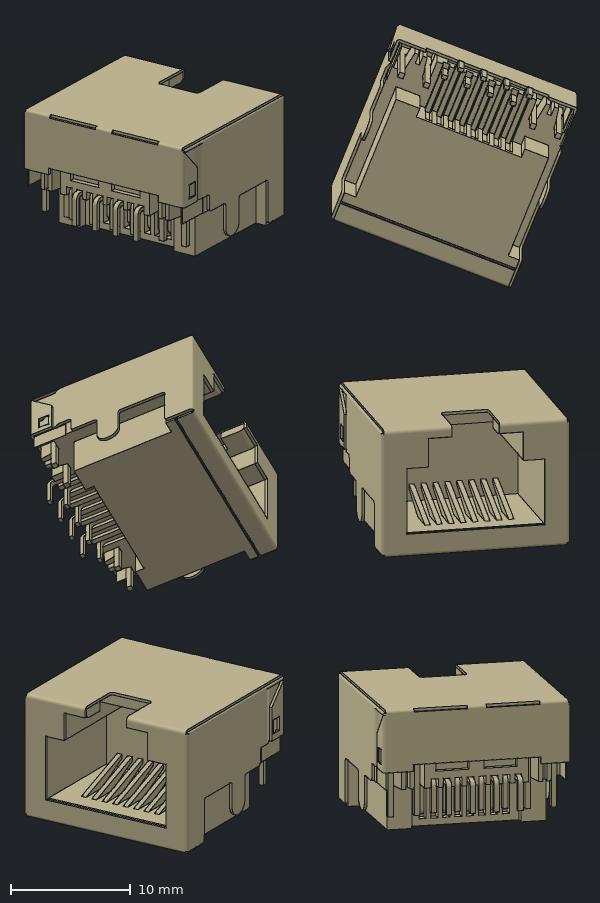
import cadquery as cq

WIDTH = 16.2
DEPTH = 15.18
HEIGHT = 11.1
SHEET = 0.25
BEND = 0.26
FRONT_BEND = 0.4
EDGE_STEP = 0.21
EDGE_ROUND = 0.16
CUT_ROUND = 0.25
OVER = 0.32

SHELF_Z = 4.2
REAR_EDGE_Z = 5.75
REAR_CUT_HALF = 5.5
REAR_CUT_Z = 6.33
FLAP_LENGTH = 2.04
FLAP_SLOPE_Z = 8.78
SIDE_TOP_Z = 10.7
TONGUE_REAR_Y = 0.45
TONGUE_GAP = 0.02
JOGGLE_OUT_Y = 2.65
JOGGLE_IN_Y = 2.04
JOGGLE_RADIUS = 0.65
WINDOW_Y = (0.81, 1.77)
WINDOW_Z = (6.33, 7.58)
BUMP_GAP = 0.03
BUMP_CREST = 0.28
BUMP_HEIGHT = 0.2
SIDE_REAR_Y = 3.84
TAB_WIDTH = 2.0
TAB_RADIUS = 0.99
TAB_Y = 7.25
TAB_BOTTOM_Z = 0.95
CHEEK_Y = 12.59
BOTTOM_FLAP_Y = 13.58
NOTCH_HALF = 2.04
NOTCH_Y = 11.08
NOTCH_ROUND = 0.35
FRONT_LATCH_TOP = 10.14
RELIEF_X = (0.83, 5.43)

BODY_HALF = WIDTH / 2 - SHEET
BODY_FRONT = DEPTH - SHEET
BODY_TOP = HEIGHT - SHEET
TONGUE_OUTER = BODY_HALF - TONGUE_GAP
TONGUE_INNER = TONGUE_OUTER - SHEET
REAR_BODY_Y = 3.24
REAR_BODY_HALF = 7.8
BASE_HALF = 6.85
BASE_REAR_Y = 3.52
CENTER_HALF = 4.71
CENTER_REAR_Y = 4.3
BOTTOM_RECESS_Y = 13.4
CAVITY_HALF = 5.95
CAVITY_FLOOR = 1.95
CAVITY_TOP = 7.66
LATCH_HALF = 4.1
LATCH_TOP = 9.98
CAVITY_REAR = 5.67
LEAD_IN = 0.25
LATCH_ROUND = 0.4
LATCH_POCKET_HALF = 3.24
LATCH_POCKET_FRONT = 12.81
REAR_POCKET_X = (0.65, 3.5)
REAR_POCKET_Z = 5.6
REAR_POCKET_HEIGHT = 1.62
REAR_POCKET_DEPTH = 0.49

CONTACTS = 8
CONTACT_PITCH = 1.029
CONTACT_WIDTH = 0.45
CONTACT_THICK = 0.35
CONTACT_SLOT = 0.6
SLOT_Z = (0.62, 4.94)
PIN_ROW_Y = (0.9, -0.18)
PIN_END_Z = 1.98
PIN_TOP_Z = 4.86
PIN_BEND = (0.71, 0.6)
RISER_Y = 4.67
RUN_Z = 0.86
RUN_BEND = 0.39
SPRING_FLOOR_Y = 12.93
SPRING_TURN_Y = 14.22
SPRING_TIP_Y = 7.29
SPRING_SLOPE = 0.35

LAMP_X = 5.91
LAMP_HALF = 1.45
LAMP_Z = (8.1, 10.37)
LEG_SPREAD = 1.13
LEG_SIZE = 0.47
LEG_REAR_Y = 1.59
LEG_END_Z = 1.59
LEG_FRONT_Y = LEG_REAR_Y + LEG_SIZE
CHANNEL_X = (4.47, 7.66)
RIB_REAR_HALF = 0.55
RIB_FRONT_HALF = 0.85
RIB_GROOVE = 0.37
RIB_GROOVE_DEPTH = 0.81


def block(x, y, z):
    """Box between the given (low, high) pairs."""
    box = cq.Workplane("XY").box(x[1] - x[0], y[1] - y[0], z[1] - z[0], centered=False)
    return box.translate((x[0], y[0], z[0]))


def middle_block(half, y, z):
    return block((-half, half), y, z)


def round_corner(solid, y, z, radius):
    """Round the edge along X that passes closest to (y, z)."""
    x = solid.val().Center().x
    nearest = cq.selectors.NearestToPointSelector((x, y, z))
    return solid.edges("|X").edges(nearest).fillet(radius)


def on_both_sides(solid):
    return solid.union(solid.mirror("YZ"))


def plug_opening(latch_top):
    """Stepped outline of the plug cavity, on the front face of the housing."""
    above = HEIGHT + OVER
    half_outline = [
        (CAVITY_HALF, CAVITY_FLOOR),
        (CAVITY_HALF, CAVITY_TOP),
        (LATCH_HALF, CAVITY_TOP),
        (LATCH_HALF, latch_top),
        (NOTCH_HALF, latch_top),
        (NOTCH_HALF, above),
    ]
    mirrored = [(-x, z) for x, z in reversed(half_outline)]
    plane = cq.Workplane("XZ", origin=(0, BODY_FRONT, 0))
    return plane.polyline(half_outline + mirrored).close()



def folded_case():
    case = middle_block(WIDTH / 2, (0, DEPTH), (0, HEIGHT)).edges("|Z").fillet(BEND)
    profile = middle_block(WIDTH / 2, (0, DEPTH), (0, HEIGHT))
    profile = profile.faces(">Y").edges(">Z").fillet(FRONT_BEND)
    profile = profile.faces(">Y").edges("<Z").fillet(BEND)
    profile = profile.faces("<Y").edges(">Z").fillet(BEND)
    case = case.intersect(profile)
    case = case.cut(middle_block(BODY_HALF, (SHEET, BODY_FRONT), (SHEET, BODY_TOP)))
    return case.cut(middle_block(WIDTH, (-OVER, BOTTOM_FLAP_Y), (-OVER, SHEET)))


def top_edge_steps():
    """Step along the long top edges, with the top of the side plate rounded over."""
    side_x = WIDTH / 2
    step_x = side_x - EDGE_STEP
    step_z = HEIGHT - EDGE_STEP
    plane = cq.Workplane("XZ", origin=(0, -OVER, 0))
    step = (
        plane.moveTo(step_x, HEIGHT + OVER)
        .lineTo(step_x, step_z)
        .lineTo(side_x - EDGE_ROUND, step_z)
        .radiusArc((side_x, step_z - EDGE_ROUND), EDGE_ROUND)
        .lineTo(side_x + OVER, step_z - EDGE_ROUND)
        .lineTo(side_x + OVER, HEIGHT + OVER)
        .close()
        .extrude(-DEPTH - 2 * OVER)
    )
    return on_both_sides(step)


def side_cutout():
    """Sheet removed below and behind the side plate, with the hanging tab left standing."""
    bottom = -OVER
    outline = [
        (SHEET, bottom),
        (SHEET, REAR_EDGE_Z),
        (SIDE_REAR_Y, REAR_EDGE_Z),
        (SIDE_REAR_Y, SHELF_Z),
        (CHEEK_Y, SHELF_Z),
        (CHEEK_Y, SHEET),
        (DEPTH + OVER, SHEET),
        (DEPTH + OVER, bottom),
    ]
    plane = cq.Workplane("YZ", origin=(BODY_HALF, 0, 0))
    cutout = plane.polyline(outline).close().extrude(SHEET + OVER)
    tab_y = (TAB_Y - TAB_WIDTH / 2, TAB_Y + TAB_WIDTH / 2)
    cutout = cutout.cut(block((BODY_HALF, WIDTH), tab_y, (TAB_BOTTOM_Z, SHELF_Z)))
    sheet_corners = [
        (SIDE_REAR_Y, REAR_EDGE_Z),
        (SIDE_REAR_Y, SHELF_Z),
        (tab_y[0], SHELF_Z),
        (tab_y[1], SHELF_Z),
        (CHEEK_Y, SHELF_Z),
        (CHEEK_Y, SHEET),
    ]
    for y, z in sheet_corners:
        cutout = round_corner(cutout, y, z, CUT_ROUND)
    tab_end = cq.selectors.BoxSelector(
        (0, tab_y[0] - CUT_ROUND, TAB_BOTTOM_Z - CUT_ROUND),
        (WIDTH, tab_y[1] + CUT_ROUND, TAB_BOTTOM_Z + CUT_ROUND),
    )
    cutout = cutout.edges("|X").edges(tab_end).fillet(TAB_RADIUS)
    rear_strip = block((BODY_HALF, WIDTH), (-OVER, SHEET + OVER), (bottom, REAR_EDGE_Z))
    return on_both_sides(cutout.union(rear_strip))


def flap_gap():
    """Opening between the side plate and the sloping flap bent from the rear plate."""
    rise = SIDE_TOP_Z - FLAP_SLOPE_Z
    outline = [
        (FLAP_LENGTH, REAR_EDGE_Z - OVER),
        (FLAP_LENGTH, FLAP_SLOPE_Z),
        (FLAP_LENGTH - rise, SIDE_TOP_Z),
        (REAR_BODY_Y, SIDE_TOP_Z),
        (REAR_BODY_Y, REAR_EDGE_Z - OVER),
    ]
    plane = cq.Workplane("YZ", origin=(BODY_HALF, 0, 0))
    gap = plane.polyline(outline).close().extrude(SHEET + OVER)
    window = block((BODY_HALF, WIDTH), WINDOW_Y, WINDOW_Z)
    return on_both_sides(gap.union(window))


def tongues():
    """Side plate ends, joggled inwards under the flaps, each with a latch bump."""
    front_y = REAR_BODY_Y
    outline = [
        (WIDTH / 2, front_y),
        (WIDTH / 2, JOGGLE_OUT_Y),
        (TONGUE_OUTER, JOGGLE_IN_Y),
        (TONGUE_OUTER, TONGUE_REAR_Y),
        (TONGUE_INNER, TONGUE_REAR_Y),
        (TONGUE_INNER, JOGGLE_IN_Y),
        (BODY_HALF, JOGGLE_OUT_Y),
        (BODY_HALF, front_y),
    ]
    plane = cq.Workplane("XY", origin=(0, 0, REAR_EDGE_Z))
    tongue = plane.polyline(outline).close().extrude(SIDE_TOP_Z - REAR_EDGE_Z)
    bends = cq.selectors.BoxSelector((0, JOGGLE_IN_Y - 0.16, 0), (WIDTH, JOGGLE_OUT_Y + 0.16, HEIGHT))
    tongue = tongue.edges("|Z").edges(bends).fillet(JOGGLE_RADIUS)

    bump_rear = WINDOW_Y[0] + BUMP_GAP
    bump_front = WINDOW_Y[1] - BUMP_GAP
    bump_outline = [
        (TONGUE_OUTER, bump_rear),
        (TONGUE_OUTER + BUMP_HEIGHT, bump_front - BUMP_CREST),
        (TONGUE_OUTER + BUMP_HEIGHT, bump_front),
        (TONGUE_OUTER, bump_front),
    ]
    bump_z = WINDOW_Z[0] + BUMP_GAP
    bump_height = WINDOW_Z[1] - BUMP_GAP - bump_z
    bump = cq.Workplane("XY", origin=(0, 0, bump_z)).polyline(bump_outline).close().extrude(bump_height)
    return on_both_sides(tongue.union(bump))


def top_notch():
    notch = middle_block(NOTCH_HALF, (NOTCH_Y, DEPTH + OVER), (BODY_TOP - OVER, HEIGHT + OVER))
    return notch.edges("|Z and <Y").fillet(NOTCH_ROUND)


def make_shell():
    shell = folded_case().cut(top_edge_steps())
    shell = shell.cut(side_cutout()).cut(flap_gap()).union(tongues())
    shell = shell.cut(plug_opening(FRONT_LATCH_TOP).extrude(-SHEET - OVER)).cut(top_notch())
    shell = shell.cut(middle_block(BODY_HALF, (-OVER, SHEET), (0, REAR_EDGE_Z)))
    shell = shell.cut(middle_block(REAR_CUT_HALF, (-OVER, SHEET), (0, REAR_CUT_Z)))
    relief = block(RELIEF_X, (-OVER, SHEET), (BODY_TOP, HEIGHT + OVER))
    return shell.cut(on_both_sides(relief))



def housing_block():
    body = middle_block(BODY_HALF, (REAR_BODY_Y, BODY_FRONT), (SHELF_Z, BODY_TOP))
    body = body.union(middle_block(REAR_BODY_HALF, (SHEET, REAR_BODY_Y), (SHELF_Z, REAR_EDGE_Z)))
    body = body.union(middle_block(TONGUE_INNER, (SHEET, REAR_BODY_Y), (REAR_EDGE_Z, BODY_TOP)))
    body = body.union(middle_block(BASE_HALF, (BASE_REAR_Y, BODY_FRONT), (0, SHELF_Z)))
    body = body.union(middle_block(BODY_HALF, (CHEEK_Y, BODY_FRONT), (0, SHELF_Z)))
    body = body.cut(middle_block(CENTER_HALF, (BASE_REAR_Y, CENTER_REAR_Y), (0, SHELF_Z)))
    return body.cut(middle_block(WIDTH, (BOTTOM_RECESS_Y, DEPTH), (-OVER, SHEET)))


def plug_cavity():
    cavity = plug_opening(LATCH_TOP).extrude(BODY_FRONT - CAVITY_REAR)
    cavity = cavity.cut(middle_block(WIDTH, (0, NOTCH_Y), (LATCH_TOP, HEIGHT + 2 * OVER)))
    lead_in_outline = [
        (BODY_FRONT - LEAD_IN, CAVITY_FLOOR),
        (BODY_FRONT, CAVITY_FLOOR),
        (BODY_FRONT, CAVITY_FLOOR - LEAD_IN),
    ]
    plane = cq.Workplane("YZ")
    lead_in = plane.polyline(lead_in_outline).close().extrude(CAVITY_HALF, both=True)
    pocket = middle_block(LATCH_POCKET_HALF, (NOTCH_Y, LATCH_POCKET_FRONT), (LATCH_TOP, BODY_TOP))
    return cavity.union(lead_in).union(latch_shelf_rounding()).union(pocket)


def latch_shelf_rounding():
    """Material taken off the lower front edges of the shelves beside the latch."""
    y = (BODY_FRONT - LATCH_ROUND, BODY_FRONT)
    z = (LATCH_TOP, LATCH_TOP + LATCH_ROUND)
    corner = middle_block(LATCH_HALF, y, z)
    axis = cq.Workplane("YZ", origin=(0, y[0], z[1]))
    return corner.cut(axis.circle(LATCH_ROUND).extrude(LATCH_HALF, both=True))


def rear_pockets():
    z = (REAR_POCKET_Z, REAR_POCKET_Z + REAR_POCKET_HEIGHT)
    return on_both_sides(block(REAR_POCKET_X, (SHEET, SHEET + REAR_POCKET_DEPTH), z))


def lamp_channels():
    """Channel for the two legs around a tapered rib, and the pocket for the lamp above."""
    height = LAMP_Z[1] - SHELF_Z
    channel = block(CHANNEL_X, (SHEET, LEG_FRONT_Y), (SHELF_Z, LAMP_Z[1]))
    rib_outline = [
        (LAMP_X - RIB_REAR_HALF, SHEET),
        (LAMP_X + RIB_REAR_HALF, SHEET),
        (LAMP_X + RIB_FRONT_HALF, LEG_FRONT_Y),
        (LAMP_X - RIB_FRONT_HALF, LEG_FRONT_Y),
    ]
    rib = cq.Workplane("XY", origin=(0, 0, SHELF_Z)).polyline(rib_outline).close().extrude(height)
    groove = block(
        (LAMP_X - RIB_GROOVE / 2, LAMP_X + RIB_GROOVE / 2),
        (SHEET, SHEET + RIB_GROOVE_DEPTH),
        (SHELF_Z, LAMP_Z[1]),
    )
    pocket = block((LAMP_X - LAMP_HALF, LAMP_X + LAMP_HALF), (SHEET, BODY_FRONT), LAMP_Z)
    return on_both_sides(channel.cut(rib).union(groove).union(pocket))


def contact_slot(x):
    slot_x = (x - CONTACT_SLOT / 2, x + CONTACT_SLOT / 2)
    return block(slot_x, (SHEET, RISER_Y + CONTACT_THICK), SLOT_Z)


def contact(x, pin_front_y, bend):
    """Bent strip: pin, run to the rear of the body, riser, run under the floor, plug spring."""
    pin_rear_y = pin_front_y - CONTACT_THICK
    riser_front = RISER_Y + CONTACT_THICK
    run_top = RUN_Z + CONTACT_THICK
    plane = cq.Workplane("YZ", origin=(x - CONTACT_WIDTH / 2, 0, 0))

    pin_outline = [
        (pin_rear_y, PIN_END_Z),
        (pin_rear_y, PIN_TOP_Z),
        (riser_front, PIN_TOP_Z),
        (riser_front, PIN_TOP_Z - CONTACT_THICK),
        (pin_front_y, PIN_TOP_Z - CONTACT_THICK),
        (pin_front_y, PIN_END_Z),
    ]
    pin = plane.polyline(pin_outline).close().extrude(CONTACT_WIDTH)
    pin = round_corner(pin, pin_rear_y, PIN_TOP_Z, bend)
    pin = round_corner(pin, pin_front_y, PIN_TOP_Z - CONTACT_THICK, bend - CONTACT_THICK)

    run_outline = [
        (RISER_Y, PIN_TOP_Z),
        (RISER_Y, RUN_Z),
        (SPRING_TURN_Y, RUN_Z),
        (SPRING_TURN_Y, run_top),
        (riser_front, run_top),
        (riser_front, PIN_TOP_Z),
    ]
    run = plane.polyline(run_outline).close().extrude(CONTACT_WIDTH)
    run = round_corner(run, RISER_Y, RUN_Z, RUN_BEND)

    tip_z = CAVITY_FLOOR + SPRING_SLOPE * (SPRING_FLOOR_Y - SPRING_TIP_Y)
    spring_outline = [
        (SPRING_TURN_Y, RUN_Z),
        (SPRING_FLOOR_Y, CAVITY_FLOOR),
        (SPRING_TIP_Y, tip_z),
        (SPRING_TIP_Y, tip_z - CONTACT_THICK),
        (SPRING_FLOOR_Y - CONTACT_THICK, RUN_Z),
    ]
    spring = plane.polyline(spring_outline).close().extrude(CONTACT_WIDTH)
    return pin.union(run).union(spring)


def make_housing():
    housing = housing_block().cut(plug_cavity()).cut(rear_pockets()).cut(lamp_channels())
    for index in range(CONTACTS):
        row = index % 2
        x = (index - (CONTACTS - 1) / 2) * CONTACT_PITCH
        housing = housing.cut(contact_slot(x))
        housing = housing.union(contact(x, PIN_ROW_Y[row], PIN_BEND[row]))
    return housing



def make_lamp(x):
    lamp = block((x - LAMP_HALF, x + LAMP_HALF), (LEG_REAR_Y, BODY_FRONT), LAMP_Z)
    for leg_x in (x - LEG_SPREAD, x + LEG_SPREAD):
        leg_span = (leg_x - LEG_SIZE / 2, leg_x + LEG_SIZE / 2)
        lamp = lamp.union(block(leg_span, (LEG_REAR_Y, LEG_FRONT_Y), (LEG_END_Z, LAMP_Z[1])))
    return lamp


shell = make_shell()
housing = make_housing()
lamps = [make_lamp(x) for x in (-LAMP_X, LAMP_X)]

result = cq.Compound.makeCompound([shell.val(), housing.val(), *[lamp.val() for lamp in lamps]])